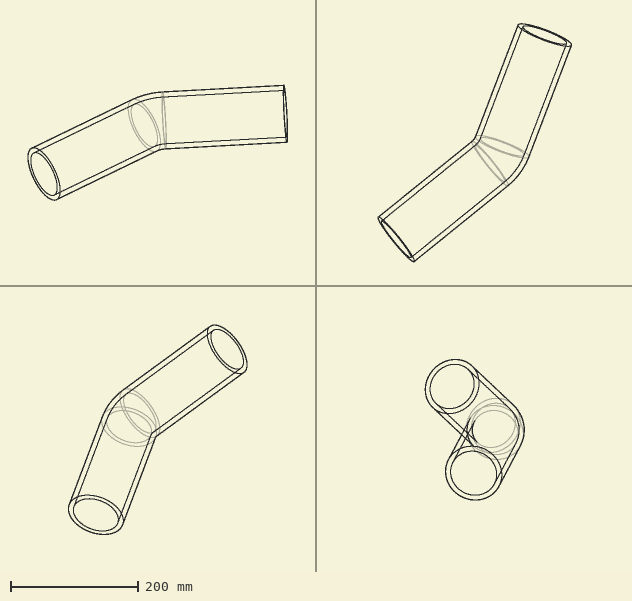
import cadquery as cq
import math

OVERALL_LENGTH = 411.5
OUTER_DIAMETER = 90.0
BORE_DIAMETER = 73.5
BEND_RADIUS = 63.8
BEND_ANGLE = 30.0

bend_radians = math.radians(BEND_ANGLE)
bend_sin = math.sin(bend_radians)
bend_cos = math.cos(bend_radians)
bend_rise = BEND_RADIUS * bend_sin
end_face_rise = OUTER_DIAMETER / 2 * bend_sin
leg_length = (OVERALL_LENGTH - bend_rise - end_face_rise) / (1 + bend_cos)


def pipe_section(plane):
    """Draw the annular pipe cross-section on a plane."""
    return cq.Workplane(plane).circle(OUTER_DIAMETER / 2).circle(BORE_DIAMETER / 2)


def section_plane(x, y, angle):
    """Plane across the pipe, facing the given turn from +Y toward +X."""
    turn = math.radians(angle)
    return cq.Plane(
        origin=(x, y, 0),
        xDir=(math.cos(turn), -math.sin(turn), 0),
        normal=(math.sin(turn), math.cos(turn), 0),
    )


bend_start = section_plane(0, leg_length, 0)
first_leg = pipe_section(section_plane(0, 0, 0)).extrude(leg_length)

bend = pipe_section(bend_start).revolve(
    BEND_ANGLE, (BEND_RADIUS, 0, 0), (BEND_RADIUS, 1, 0)
)

bend_end = section_plane(BEND_RADIUS * (1 - bend_cos), leg_length + bend_rise, BEND_ANGLE)
second_leg = pipe_section(bend_end).extrude(leg_length)

result = first_leg.union(bend).union(second_leg)